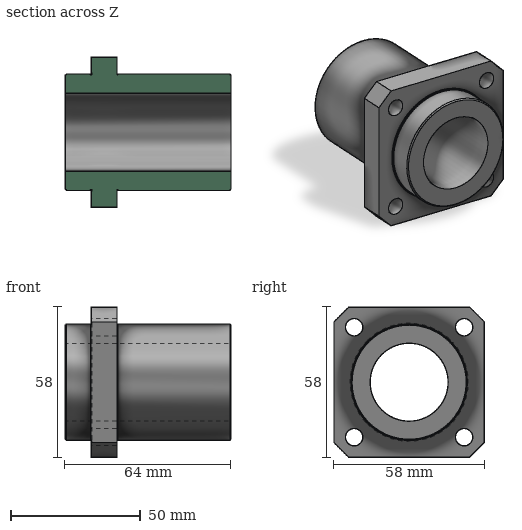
import cadquery as cq
import math

total_length = 64.0
body_diameter = 45.0
bore_diameter = 30.0
body_radius = body_diameter / 2
bore_radius = bore_diameter / 2
end_chamfer = 0.5

flange_start = 10.0
flange_thickness = 10.0
flange_side = 58.0
flange_across_corners = 74.0
corner_cut = flange_side - flange_across_corners / math.sqrt(2)
flange_end = flange_start + flange_thickness

relief_width = 0.3
relief_depth = 0.2

recess_clearance = 0.3
recess_depth = 0.3

hole_diameter = 6.6
hole_circle_diameter = 60.0
hole_spacing = hole_circle_diameter / math.sqrt(2)


def make_bore():
    """Cylinder removed to open the full-length bore."""
    return cq.Workplane("YZ").circle(bore_radius).extrude(total_length)


def make_sleeve():
    """Revolve the solid grooved sleeve, with its outline given as (x, radius), about X."""
    end_radius = body_radius - end_chamfer
    relief_radius = body_radius - relief_depth
    relief_start = flange_start - relief_width
    relief_end = flange_end + relief_width
    profile = [
        (0, 0),
        (0, end_radius),
        (end_chamfer, body_radius),
        (relief_start, body_radius),
        (relief_start, relief_radius),
        (relief_end, relief_radius),
        (relief_end, body_radius),
        (total_length - end_chamfer, body_radius),
        (total_length, end_radius),
        (total_length, 0),
    ]
    return cq.Workplane("XZ").polyline(profile).close().revolve(360, (0, 0), (1, 0))


def make_flange():
    """Square plate with cut corners, mounting holes and front recess."""
    front_plane = cq.Workplane("YZ", origin=(flange_start, 0, 0))
    plate = (
        front_plane.rect(flange_side, flange_side)
        .extrude(flange_thickness)
        .edges("|X")
        .chamfer(corner_cut)
    )
    mounting_holes = (
        front_plane.rect(hole_spacing, hole_spacing, forConstruction=True)
        .vertices()
        .circle(hole_diameter / 2)
        .extrude(flange_thickness)
    )
    recess = front_plane.circle(body_radius + recess_clearance).extrude(recess_depth)
    return plate.cut(mounting_holes).cut(recess)


result = make_flange().union(make_sleeve()).cut(make_bore())